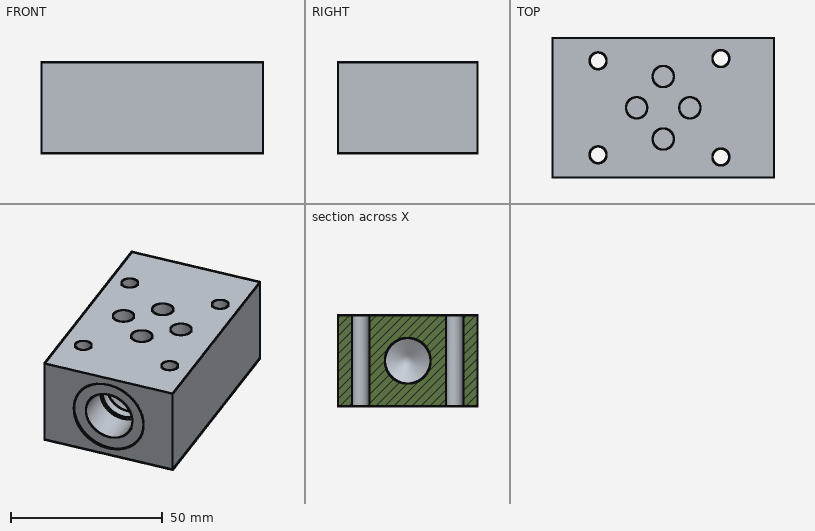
import cadquery as cq
import math

length = 73.0
width = 46.0
height = 30.0
left_x = -length / 2
top_z = height / 2

spot_face_diameter = 25.0
spot_face_depth = 0.5
thread_diameter = 16.65
thread_depth = 12.4
core_diameter = 15.0
core_depth = 16.05
drill_point_angle = 118.0

valve_port_diameter = 7.0
valve_port_depth = 6.2
valve_port_reach_x = 8.75
valve_port_reach_y = 10.3

bolt_diameter = 5.5
left_bolt_x = -21.45
left_bolt_y = 15.5
right_bolt_x = 19.0
right_bolt_y = 16.2


def make_end_port():
    """Solid of the stepped port, turned about the X axis through the block centre."""
    spot_face_radius = spot_face_diameter / 2
    thread_radius = thread_diameter / 2
    core_radius = core_diameter / 2
    point_length = core_radius / math.tan(math.radians(drill_point_angle / 2))
    profile = [
        (0, 0),
        (0, spot_face_radius),
        (spot_face_depth, spot_face_radius),
        (spot_face_depth, thread_radius),
        (thread_depth, thread_radius),
        (thread_depth, core_radius),
        (core_depth, core_radius),
        (core_depth + point_length, 0),
    ]
    port = cq.Workplane("XY").polyline(profile).close().revolve(360, (0, 0, 0), (1, 0, 0))
    return port.translate((left_x, 0, 0))


def make_top_holes(centres, diameter, depth):
    """Solids of round, flat-bottomed holes going down from the top face."""
    top_face = cq.Workplane("XY", origin=(0, 0, top_z))
    return top_face.pushPoints(centres).circle(diameter / 2).extrude(-depth)


valve_port_centres = [
    (-valve_port_reach_x, 0),
    (valve_port_reach_x, 0),
    (0, -valve_port_reach_y),
    (0, valve_port_reach_y),
]
bolt_centres = [
    (bolt_x, side * bolt_y)
    for bolt_x, bolt_y in ((left_bolt_x, left_bolt_y), (right_bolt_x, right_bolt_y))
    for side in (-1, 1)
]

block = cq.Workplane("XY").box(length, width, height)
valve_ports = make_top_holes(valve_port_centres, valve_port_diameter, valve_port_depth)
bolt_holes = make_top_holes(bolt_centres, bolt_diameter, height)
result = block.cut(make_end_port()).cut(valve_ports).cut(bolt_holes)